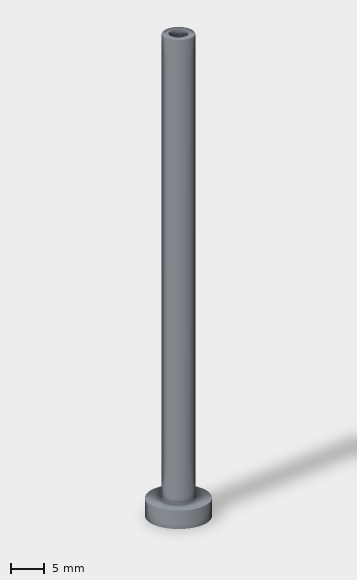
import cadquery as cq

total_length = 78.0
head_diameter = 10.0
head_thickness = 3.0
shank_diameter = 5.0
bore_diameter = 3.0
neck_fillet = 0.3

head = cq.Workplane("XY").circle(head_diameter / 2).extrude(head_thickness)

shank = head.faces(">Z").workplane().circle(shank_diameter / 2).extrude(total_length - head_thickness)

head_top = shank.faces("|Z").faces(">Z[-2]")
body = head_top.edges(cq.selectors.RadiusNthSelector(0)).fillet(neck_fillet)

bore = cq.Workplane("XY").circle(bore_diameter / 2).extrude(total_length)

result = body.cut(bore)